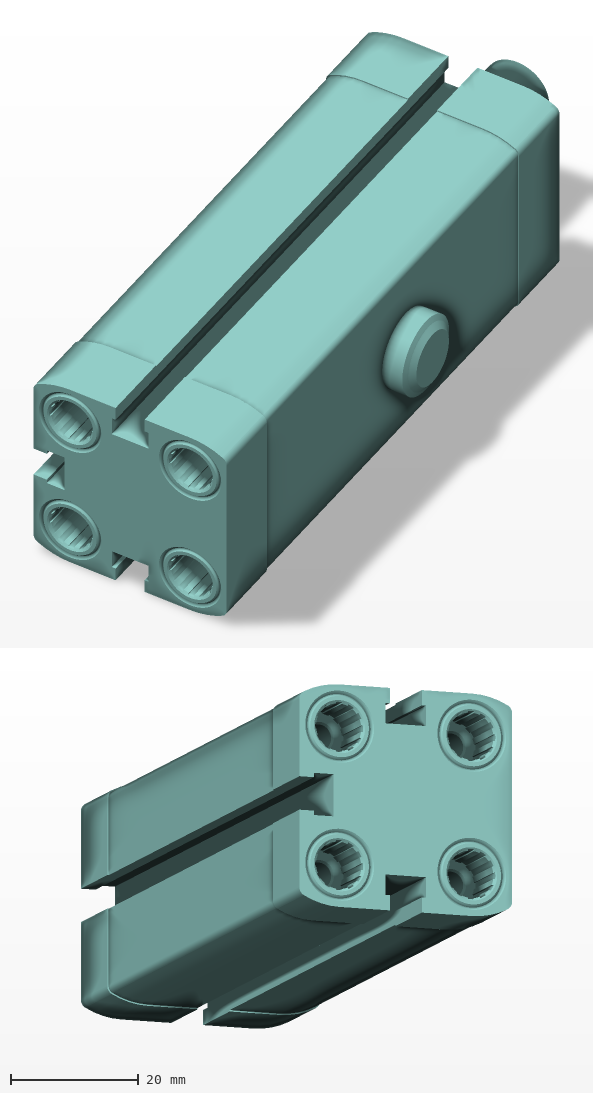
import cadquery as cq
import math

total_length = 115.9
housing_width = 35.5
housing_length = 99.6
cap_length = 12.0
barrel_inset = 0.2

hole_offset = 11.0
corner_radius = 12.7
corner_blend_radius = 1.4

slot_mouth_width = 5.3
slot_inner_width = 6.7
slot_lip = 2.4
slot_depth = 5.7

groove_outer_diameter = 11.5
groove_root_diameter = 10.5
head_crown_diameter = 9.7
groove_depth = 0.5
socket_mouth_diameter = 8.5
socket_outer_diameter = 8.0
socket_inner_diameter = 7.5
spline_count = 12
socket_depth = 9.3
bore_mouth_diameter = 4.9
bore_diameter = 4.2

rod_diameter = 12.0
rod_tip_diameter = 11.6
rod_taper_length = 7.3
flat_thickness = 10.0
flat_length = 6.1
flat_from_tip = 8.2

stub_diameter = 14.0
stub_shoulder_diameter = 12.0
stub_tip_diameter = 9.7
stub_length = 4.8
stub_collar_length = 3.5
stub_shoulder_height = 3.9
stub_from_front = 53.9

half_width = housing_width / 2


def section(inset, start_y, length):
    """Block with the housing outline, shrunk by the inset, from start_y towards +Y."""
    half = half_width - inset
    radius = corner_radius - inset
    arc_run = half_width - hole_offset - inset
    half_sweep = math.asin(arc_run / radius) / 2
    arc_drop = radius - math.sqrt(radius**2 - arc_run**2)
    mid_x = hole_offset + radius * math.sin(half_sweep)
    mid_z = half - radius * (1 - math.cos(half_sweep))
    corner_z = half - arc_drop
    block = (
        cq.Workplane("XZ", origin=(0, start_y, 0))
        .moveTo(-hole_offset, half)
        .lineTo(hole_offset, half)
        .threePointArc((mid_x, mid_z), (half, corner_z))
        .lineTo(half, -corner_z)
        .threePointArc((mid_x, -mid_z), (hole_offset, -half))
        .lineTo(-hole_offset, -half)
        .threePointArc((-mid_x, -mid_z), (-half, -corner_z))
        .lineTo(-half, corner_z)
        .threePointArc((-mid_x, mid_z), (-hole_offset, half))
        .close()
        .extrude(-length)
    )
    blended_edges = cq.selectors.BoxSelector(
        (-half_width - 1.2, start_y - 1.2, -corner_z - 0.1),
        (half_width + 1.2, start_y + length + 1.2, corner_z + 0.1),
    )
    return block.edges("|Y").edges(blended_edges).fillet(corner_blend_radius - inset)


def slot_cutter(angle):
    """T-shaped groove along Y in the +Z face, turned about Y by the angle."""
    lip = cq.Workplane("XY").box(slot_mouth_width, housing_length, slot_depth)
    lip = lip.translate((0, housing_length / 2, half_width - slot_depth / 2))
    inner_height = slot_depth - slot_lip
    inner = cq.Workplane("XY").box(slot_inner_width, housing_length, inner_height)
    inner = inner.translate((0, housing_length / 2, half_width - slot_depth + inner_height / 2))
    return lip.union(inner).rotate((0, 0, 0), (0, 1, 0), angle)


def groove_cutter():
    """V-shaped ring in the -Y face that outlines the screw head."""
    return (
        cq.Workplane("XY")
        .moveTo(groove_outer_diameter / 2, 0)
        .lineTo(groove_root_diameter / 2, groove_depth)
        .lineTo(head_crown_diameter / 2, 0)
        .close()
        .revolve(360, (0, 0, 0), (0, 1, 0))
    )


def spline_cutter():
    """One groove of the socket spline, a sector of the larger socket circle on the +X side."""
    radius = socket_outer_diameter / 2
    half_angle = math.pi / spline_count / 2
    edge_x = radius * math.cos(half_angle)
    edge_z = radius * math.sin(half_angle)
    return (
        cq.Workplane("XZ")
        .moveTo(0, 0)
        .lineTo(edge_x, -edge_z)
        .threePointArc((radius, 0), (edge_x, edge_z))
        .close()
        .extrude(-socket_depth)
    )


def stepped_bore_cutter():
    """Socket core and through bore, each opening with a 45 degree bevel."""
    mouth_radius = socket_mouth_diameter / 2
    socket_radius = socket_inner_diameter / 2
    bore_mouth_radius = bore_mouth_diameter / 2
    bore_radius = bore_diameter / 2
    return (
        cq.Workplane("XY")
        .moveTo(0, 0)
        .lineTo(mouth_radius, 0)
        .lineTo(socket_radius, mouth_radius - socket_radius)
        .lineTo(socket_radius, socket_depth)
        .lineTo(bore_mouth_radius, socket_depth)
        .lineTo(bore_radius, socket_depth + bore_mouth_radius - bore_radius)
        .lineTo(bore_radius, housing_length)
        .lineTo(0, housing_length)
        .close()
        .revolve(360, (0, 0, 0), (0, 1, 0))
    )


def screw_cutters():
    """Socket with its bore, and the ring groove, of one screw centred on the Y axis."""
    socket = stepped_bore_cutter()
    spline = spline_cutter()
    for i in range(spline_count):
        socket = socket.union(spline.rotate((0, 0, 0), (0, 1, 0), 360 / spline_count * i))
    return socket, groove_cutter()


def make_housing():
    barrel_length = housing_length - 2 * cap_length
    body = section(barrel_inset, cap_length, barrel_length)
    body = body.union(section(0, 0, cap_length))
    body = body.union(section(0, housing_length - cap_length, cap_length))
    for angle in (0, 180, -90):
        body = body.cut(slot_cutter(angle))
    socket, groove = screw_cutters()
    for x in (-hole_offset, hole_offset):
        for z in (-hole_offset, hole_offset):
            body = body.cut(socket.translate((x, 0, z)))
            body = body.cut(groove.translate((x, 0, z)))
    return body


def wrench_flat_cutter():
    """Trapezoidal notch across the rod on its +Z side, with 45 degree ends."""
    flat_end = total_length - flat_from_tip
    flat_start = flat_end - flat_length
    ramp = (rod_diameter - flat_thickness) / 2
    return (
        cq.Workplane("YZ")
        .moveTo(flat_start, flat_thickness / 2)
        .lineTo(flat_end, flat_thickness / 2)
        .lineTo(flat_end + ramp, rod_diameter / 2)
        .lineTo(flat_start - ramp, rod_diameter / 2)
        .close()
        .extrude(rod_diameter / 2, both=True)
    )


def make_rod():
    rod = (
        cq.Workplane("XY")
        .moveTo(0, housing_length)
        .lineTo(rod_diameter / 2, housing_length)
        .lineTo(rod_diameter / 2, total_length - rod_taper_length)
        .lineTo(rod_tip_diameter / 2, total_length)
        .lineTo(0, total_length)
        .close()
        .revolve(360, (0, 0, 0), (0, 1, 0))
    )
    flat = wrench_flat_cutter()
    return rod.cut(flat).cut(flat.mirror("XY"))


def make_stub():
    """Round stub standing on the +X side of the barrel, with an end bevelled in two steps."""
    base_x = half_width - barrel_inset
    tip_x = half_width + stub_length
    return (
        cq.Workplane("XY")
        .moveTo(base_x, 0)
        .lineTo(base_x, stub_diameter / 2)
        .lineTo(half_width + stub_collar_length, stub_diameter / 2)
        .lineTo(half_width + stub_shoulder_height, stub_shoulder_diameter / 2)
        .lineTo(tip_x, stub_tip_diameter / 2)
        .lineTo(tip_x, 0)
        .close()
        .revolve(360, (0, 0, 0), (1, 0, 0))
        .translate((0, stub_from_front, 0))
    )


housing = make_housing()
rod = make_rod()
stub = make_stub()

result = cq.Compound.makeCompound([housing.val(), rod.val(), stub.val()])